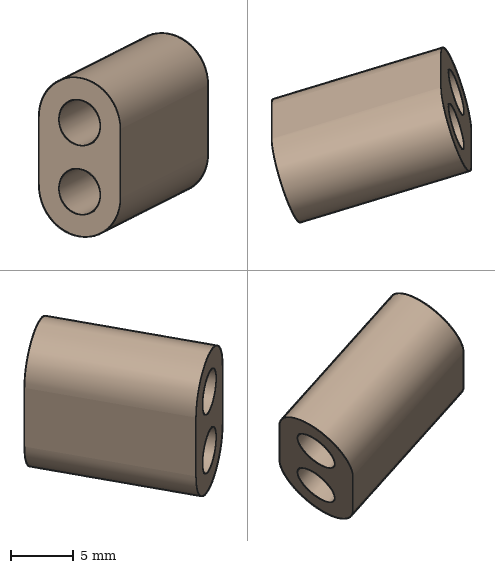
import cadquery as cq

width = 7.5
height = 13.27
length = 14.35
bore_diameter = 3.8

bore_spacing = height - width


def make_body():
    """Obround bar with its long cross-section axis along Z, centred on the origin."""
    return (
        cq.Workplane("XZ")
        .slot2D(height, width, angle=90)
        .extrude(length / 2, both=True)
    )


def make_bores():
    """Two parallel through bores along Y, one at each end centre."""
    return (
        cq.Workplane("XZ")
        .pushPoints([(0, -bore_spacing / 2), (0, bore_spacing / 2)])
        .circle(bore_diameter / 2)
        .extrude(length / 2, both=True)
    )


result = make_body().cut(make_bores())